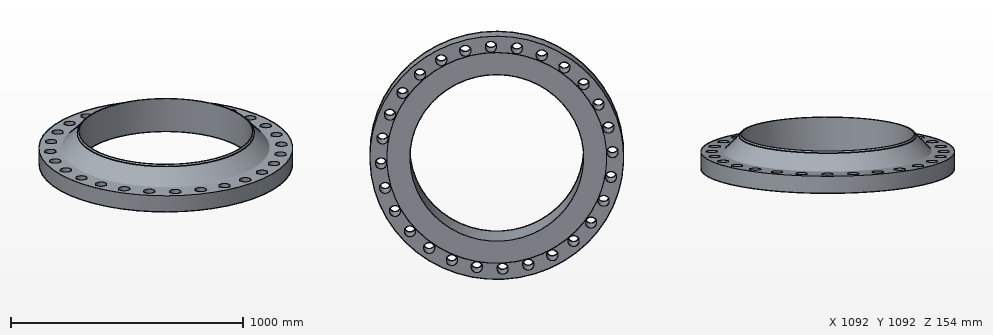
import cadquery as cq

flange_diameter = 1092.0
total_height = 154.0
flange_top = 78.0

face_diameter = 946.0
face_height = 2.0

bore_radius = 373.0
hub_base_radius = 448.0
neck_radius = 381.0
end_radius = 375.0
bevel_height = 7.0
neck_land = 2.0
hub_fillet = 7.0

bolt_count = 28
bolt_circle_diameter = 997.0
bolt_hole_diameter = 48.0


def revolved_body():
    """Ring section in the radius/height plane, turned about the Z axis."""
    flange_radius = flange_diameter / 2
    face_radius = face_diameter / 2
    bevel_start = total_height - bevel_height
    cone_top = bevel_start - neck_land
    section = (
        cq.Workplane("XZ")
        .moveTo(bore_radius, 0)
        .lineTo(face_radius, 0)
        .lineTo(face_radius, face_height)
        .lineTo(flange_radius, face_height)
        .lineTo(flange_radius, flange_top)
        .lineTo(hub_base_radius, flange_top)
        .lineTo(neck_radius, cone_top)
        .lineTo(neck_radius, bevel_start)
        .lineTo(end_radius, total_height)
        .lineTo(bore_radius, total_height)
        .close()
    )
    return section.revolve(360, (0, 0, 0), (0, 1, 0))


def round_hub_base(body):
    """Fillet the corner where the cone meets the flange."""
    tolerance = 1.0
    box_half = hub_base_radius + tolerance
    hub_corner = cq.selectors.BoxSelector(
        (-box_half, -box_half, flange_top - tolerance),
        (box_half, box_half, flange_top + tolerance),
        boundingbox=True,
    )
    return body.edges(hub_corner).fillet(hub_fillet)


def bolt_holes():
    """Through holes on the bolt circle, the first one on the +X axis."""
    return (
        cq.Workplane("XY")
        .polarArray(bolt_circle_diameter / 2, 0, 360, bolt_count)
        .circle(bolt_hole_diameter / 2)
        .extrude(total_height)
    )


result = round_hub_base(revolved_body()).cut(bolt_holes())